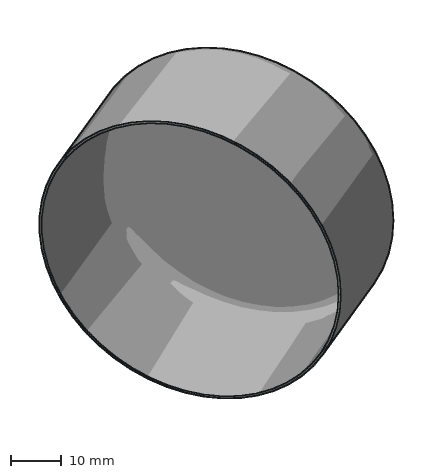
import cadquery as cq

outer_diameter = 64.25
inner_diameter = 63.2
depth = 30.0
outer_corner_radius = 3.5

wall = (outer_diameter - inner_diameter) / 2
inner_corner_radius = outer_corner_radius - wall


def rounded_cylinder(diameter, length, corner_radius):
    """Cylinder from the open rim along +Y, with its far edge rounded."""
    rim_plane = cq.Workplane("XZ")
    cylinder = rim_plane.circle(diameter / 2).extrude(-length)
    return cylinder.faces(">Y").edges().fillet(corner_radius)


body = rounded_cylinder(outer_diameter, depth, outer_corner_radius)
cavity = rounded_cylinder(inner_diameter, depth - wall, inner_corner_radius)

result = body.cut(cavity)